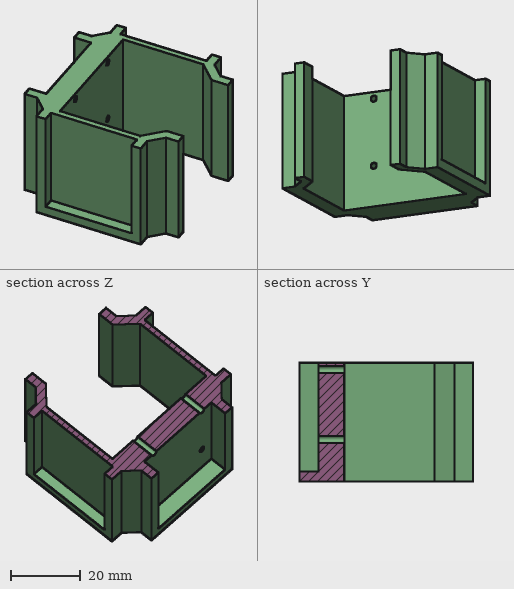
import cadquery as cq

side = 49.7
height = 34.1
half = side / 2

notch = 8.0
lip = 4.05

rim = 3.0
recess_width = side - 2 * (notch + rim)
side_recess_depth = 3.4
back_recess_depth = 5.4

side_web = 2.0
back_web = 7.45
side_wall = side_recess_depth + side_web
back_wall = back_recess_depth + back_web
mouth_inset = notch + rim
mouth_slope = mouth_inset - side_wall

hole_diameter = 1.8
hole_spacing = 20.0
hole_top_margin = 2.0


def make_body():
    """Square prism with four notched and bevelled corners."""
    body = cq.Workplane("XY").rect(side, side).extrude(height)
    for x_sign in (-1, 1):
        for y_sign in (-1, 1):
            corner = [
                (half, half),
                (half, half - notch),
                (half - lip, half - notch),
                (half - notch, half - lip),
                (half - notch, half),
            ]
            points = [(x_sign * x, y_sign * y) for x, y in corner]
            body = body.cut(cq.Workplane("XY").polyline(points).close().extrude(height))
    return body


def make_channel():
    """Full-height channel whose mouth narrows at 45 degrees towards +X."""
    back_x = -half + back_wall
    slope_start_x = half - mouth_inset
    slope_end_x = slope_start_x + mouth_slope
    wide_y = half - side_wall
    mouth_y = half - mouth_inset
    points = [
        (back_x, -wide_y),
        (slope_start_x, -wide_y),
        (slope_end_x, -mouth_y),
        (half, -mouth_y),
        (half, mouth_y),
        (slope_end_x, mouth_y),
        (slope_start_x, wide_y),
        (back_x, wide_y),
    ]
    return cq.Workplane("XY").polyline(points).close().extrude(height)


def make_recesses():
    """Shallow pockets in the -X, -Y and +Y faces, each above a bottom rim."""
    floor = cq.Workplane("XY").workplane(offset=rim)
    pocket_height = height - rim
    back = floor.center(-half + back_recess_depth / 2, 0)
    recesses = back.rect(back_recess_depth, recess_width).extrude(pocket_height)
    for y_sign in (-1, 1):
        pocket_y = y_sign * (half - side_recess_depth / 2)
        pocket = cq.Workplane("XY", origin=(0, pocket_y, rim))
        recesses = recesses.union(pocket.rect(recess_width, side_recess_depth).extrude(pocket_height))
    return recesses


def make_holes():
    """Square pattern of four holes running along X through the back web."""
    pattern_z = height - hole_top_margin - hole_spacing / 2
    plane = cq.Workplane("YZ", origin=(-half, 0, pattern_z))
    centres = plane.rarray(hole_spacing, hole_spacing, 2, 2)
    return centres.circle(hole_diameter / 2).extrude(back_wall)


result = make_body().cut(make_channel()).cut(make_recesses()).cut(make_holes())